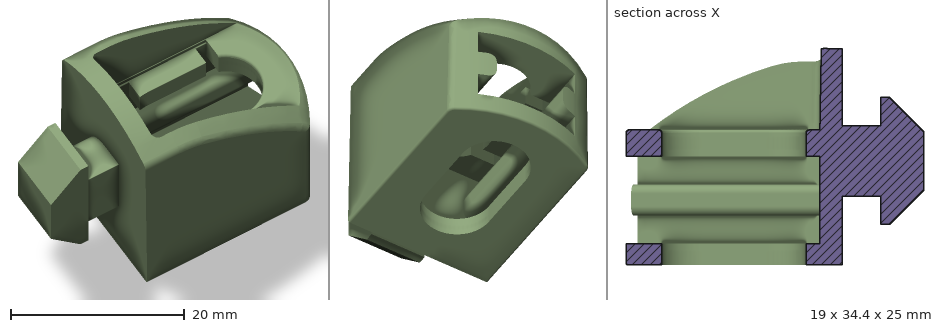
import cadquery as cq
import math

BODY_DEPTH = 25.0
BODY_HEIGHT = 25.0
BASE_WIDTH = 19.0
DRAFT_ANGLE = 1.0
CROWN_RADIUS = 16.8
EDGE_RADIUS = 1.0
BASE_EDGE_RADIUS = 0.3

RIDGE_FLAT_LENGTH = 4.6
RIDGE_BEND_RADIUS = 13.6
RIDGE_BEND_ANGLE = 17.15
RIDGE_CURVE_END_Y = 23.0
RIDGE_CURVE_END_Z = 16.93

FLOOR_HEIGHT = 15.6
POCKET_FLOOR_WIDTH = 13.76
POCKET_FRONT = 2.66
POCKET_CORNER_RADIUS = 0.75

SLOT_WIDTH = 8.54
SLOT_LENGTH = 16.6
SLOT_CENTER_Y = 12.53
SLOT_EDGE_RADIUS = 0.35

CEILING_THICKNESS = 3.1
CAVITY_BASE_Z = 2.5
CAVITY_HEIGHT = FLOOR_HEIGHT - CEILING_THICKNESS - CAVITY_BASE_Z
CAVITY_WIDTH = 13.2
CAVITY_FRONT = POCKET_FRONT
RAIL_WIDTH = 2.1
RAIL_HEIGHT = 3.6
RAIL_EDGE_RADIUS = 1.04

RECESS_FRONT = 6.0
RECESS_BACK = 18.05
RECESS_OUTER_X = -6.79
RECESS_DEPTH = 0.5
SLIT_LENGTH = 1.5

ANCHOR_CENTER_Z = 12.0
STEM_WIDTH = 6.6
STEM_HEIGHT = 8.2
STEM_LENGTH = 4.33
STEM_CORNER_RADIUS = 3.53
HEAD_WIDTH = 7.2
HEAD_HEIGHT = 14.7
HEAD_LENGTH = 5.06
HEAD_RIM_LENGTH = 1.05
HEAD_BEVEL = HEAD_LENGTH - HEAD_RIM_LENGTH

TAIL_LENGTH = 6.0
OVERLAP = 1.0
EDGE_TOLERANCE = 0.1
SIDE_BAND = 1.0


def crown_drop(x):
    """Fall of the arch below its ridge at distance x from the middle."""
    return CROWN_RADIUS - math.sqrt(CROWN_RADIUS**2 - x**2)


def drafted_block():
    half_base = BASE_WIDTH / 2
    half_top = half_base - BODY_HEIGHT * math.tan(math.radians(DRAFT_ANGLE))
    section = [(-half_base, 0), (half_base, 0), (half_top, BODY_HEIGHT), (-half_top, BODY_HEIGHT)]
    block = cq.Workplane("XZ").polyline(section).close().extrude(-BODY_DEPTH)

    side_y = BODY_DEPTH - crown_drop(half_base)
    plan = (
        cq.Workplane("XY")
        .moveTo(-half_base, 0)
        .lineTo(half_base, 0)
        .lineTo(half_base, side_y)
        .threePointArc((0, BODY_DEPTH), (-half_base, side_y))
        .close()
        .extrude(BODY_HEIGHT)
    )
    return block.intersect(plan)


def crown_cutter():
    """Space above the arched top: the arch swept along the ridge line."""
    bend = math.radians(RIDGE_BEND_ANGLE)
    bend_y = RIDGE_FLAT_LENGTH + RIDGE_BEND_RADIUS * math.sin(bend)
    bend_z = BODY_HEIGHT - RIDGE_BEND_RADIUS * (1 - math.cos(bend))
    mid_y = RIDGE_FLAT_LENGTH + RIDGE_BEND_RADIUS * math.sin(bend / 2)
    mid_z = BODY_HEIGHT - RIDGE_BEND_RADIUS * (1 - math.cos(bend / 2))
    chord_angle = math.atan2(bend_z - RIDGE_CURVE_END_Z, RIDGE_CURVE_END_Y - bend_y)
    end_angle = 2 * chord_angle - bend
    tail_y = BODY_DEPTH + TAIL_LENGTH
    tail_z = RIDGE_CURVE_END_Z - (tail_y - RIDGE_CURVE_END_Y) * math.tan(end_angle)
    ridge = (
        cq.Workplane("YZ")
        .moveTo(-OVERLAP, BODY_HEIGHT)
        .lineTo(RIDGE_FLAT_LENGTH, BODY_HEIGHT)
        .threePointArc((mid_y, mid_z), (bend_y, bend_z))
        .tangentArcPoint((RIDGE_CURVE_END_Y, RIDGE_CURVE_END_Z), relative=False)
        .lineTo(tail_y, tail_z)
    )
    half_width = BASE_WIDTH / 2 + OVERLAP
    shoulder_z = BODY_HEIGHT - crown_drop(half_width)
    roof_z = BODY_HEIGHT + FLOOR_HEIGHT
    return (
        cq.Workplane("XZ", origin=(0, -OVERLAP, 0))
        .moveTo(-half_width, shoulder_z)
        .threePointArc((0, BODY_HEIGHT), (half_width, shoulder_z))
        .lineTo(half_width, roof_z)
        .lineTo(-half_width, roof_z)
        .close()
        .sweep(ridge)
    )


def rounded_body():
    body = drafted_block().cut(crown_cutter())
    outer_x = BASE_WIDTH / 2
    inner_x = outer_x - SIDE_BAND
    for left, right in ((-outer_x, -inner_x), (inner_x, outer_x)):
        crown_edges = cq.selectors.BoxSelector((left, SIDE_BAND, SIDE_BAND), (right, BODY_DEPTH, BODY_HEIGHT))
        body = body.edges(crown_edges).fillet(EDGE_RADIUS)
    return body.faces("<Z").edges("not(<Y)").fillet(BASE_EDGE_RADIUS)


def floor_pocket():
    length = BODY_DEPTH + TAIL_LENGTH - POCKET_FRONT
    return (
        cq.Workplane("XY", origin=(0, POCKET_FRONT + length / 2, FLOOR_HEIGHT))
        .sketch()
        .rect(POCKET_FLOOR_WIDTH, length)
        .vertices()
        .fillet(POCKET_CORNER_RADIUS)
        .finalize()
        .extrude(BODY_HEIGHT - FLOOR_HEIGHT + OVERLAP, taper=-DRAFT_ANGLE)
    )


def cut_slot(body):
    slot = (
        cq.Workplane("XY", origin=(0, SLOT_CENTER_Y, 0))
        .slot2D(SLOT_LENGTH, SLOT_WIDTH, 90)
        .extrude(BODY_HEIGHT)
    )
    reach_x = SLOT_WIDTH / 2 + SLOT_EDGE_RADIUS
    reach_y = SLOT_LENGTH / 2 + SLOT_EDGE_RADIUS
    rim = cq.selectors.BoxSelector(
        (-reach_x, SLOT_CENTER_Y - reach_y, FLOOR_HEIGHT - EDGE_TOLERANCE),
        (reach_x, SLOT_CENTER_Y + reach_y, FLOOR_HEIGHT + EDGE_TOLERANCE),
    )
    return body.cut(slot).edges(rim).fillet(SLOT_EDGE_RADIUS)


def side_recess():
    corner = (RECESS_OUTER_X, RECESS_FRONT, FLOOR_HEIGHT - RECESS_DEPTH)
    width = -RECESS_OUTER_X
    length = RECESS_BACK - RECESS_FRONT
    return cq.Workplane("XY", origin=corner).box(width, length, RECESS_DEPTH, centered=False)


def recess_slit(front_y):
    corner = (-CAVITY_WIDTH / 2, front_y, FLOOR_HEIGHT - CEILING_THICKNESS)
    return cq.Workplane("XY", origin=corner).box(
        CAVITY_WIDTH / 2, SLIT_LENGTH, CEILING_THICKNESS, centered=False
    )


def railed_cavity():
    center_z = CAVITY_BASE_Z + CAVITY_HEIGHT / 2
    length = BODY_DEPTH - CAVITY_FRONT
    cavity = (
        cq.Workplane("XZ", origin=(0, CAVITY_FRONT, center_z))
        .rect(CAVITY_WIDTH, CAVITY_HEIGHT)
        .extrude(-length)
    )
    for side, inner_edges in ((-1, ">X and |Y"), (1, "<X and |Y")):
        rail_x = side * (CAVITY_WIDTH - RAIL_WIDTH) / 2
        rail = (
            cq.Workplane("XZ", origin=(rail_x, CAVITY_FRONT, center_z))
            .rect(RAIL_WIDTH, RAIL_HEIGHT)
            .extrude(-length)
            .edges(inner_edges)
            .fillet(RAIL_EDGE_RADIUS)
        )
        cavity = cavity.cut(rail)
    return cavity


def anchor():
    stem = (
        cq.Workplane("XZ", origin=(0, 0, ANCHOR_CENTER_Z))
        .rect(STEM_WIDTH, STEM_HEIGHT)
        .extrude(STEM_LENGTH)
        .edges("<X and >Z")
        .fillet(STEM_CORNER_RADIUS)
    )
    head = (
        cq.Workplane("XZ", origin=(0, -STEM_LENGTH, ANCHOR_CENTER_Z))
        .rect(HEAD_WIDTH, HEAD_HEIGHT)
        .extrude(HEAD_LENGTH)
        .faces("<Y")
        .edges("|X")
        .chamfer(HEAD_BEVEL)
    )
    return stem.union(head)


result = rounded_body().cut(floor_pocket())
result = cut_slot(result).cut(side_recess()).cut(railed_cavity())
for slit_front in (RECESS_FRONT, RECESS_BACK - SLIT_LENGTH):
    result = result.cut(recess_slit(slit_front))
result = result.union(anchor())